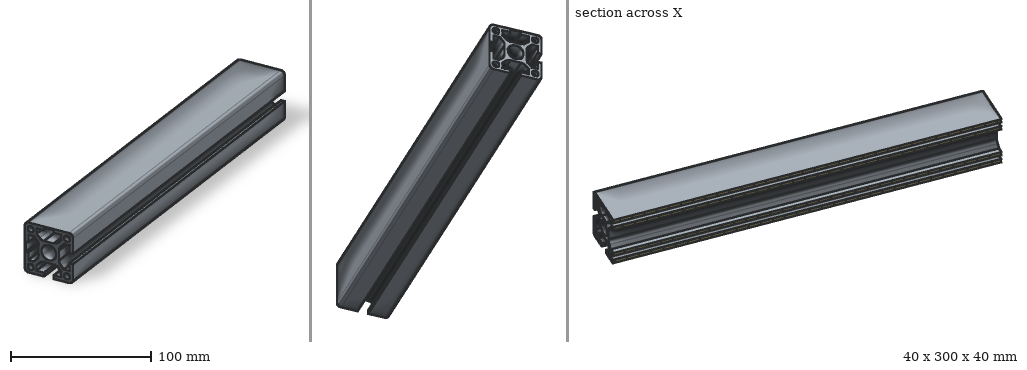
import cadquery as cq

LENGTH = 300.0
SIDE = 40.0
HALF = SIDE / 2
CORNER_RADIUS = 3.3

CENTER_BORE_RADIUS = 6.0
CORNER_HOLE_RADIUS = 2.5
CORNER_HOLE_OFFSET = 15.0

LIP_THICKNESS = 3.0
CHAMBER_HALF_WIDTH = 10.2
CHAMBER_FLOOR = 8.5
WEB_THICKNESS = 3.3
FLOOR_FILLET = 5.5
CHAMBER_TOP = HALF - LIP_THICKNESS

MOUTH_WIDTH = 8.0
SKIN_THICKNESS = 1.0
OPEN_ANGLES = (90, 180)
COVERED_ANGLES = (0, 270)


def extrude_along_length(sketch):
    return sketch.extrude(LENGTH / 2, both=True)


def make_body():
    body = extrude_along_length(cq.Workplane("XZ").rect(SIDE, SIDE))
    return body.edges("|Y").fillet(CORNER_RADIUS)


def make_chamber():
    """Chamber on the +Z side, with 45-degree flanks beside the webs."""
    flank_offset = WEB_THICKNESS / 2 * 2**0.5
    floor_half_width = CHAMBER_FLOOR - flank_offset
    flank_top = CHAMBER_HALF_WIDTH + flank_offset
    outline = [
        (-CHAMBER_HALF_WIDTH, CHAMBER_TOP),
        (CHAMBER_HALF_WIDTH, CHAMBER_TOP),
        (CHAMBER_HALF_WIDTH, flank_top),
        (floor_half_width, CHAMBER_FLOOR),
        (-floor_half_width, CHAMBER_FLOOR),
        (-CHAMBER_HALF_WIDTH, flank_top),
    ]
    chamber = extrude_along_length(cq.Workplane("XZ").polyline(outline).close())
    return chamber.faces("<Z").edges("|Y").fillet(FLOOR_FILLET)


def make_mouth(outer_height):
    """Slot mouth on the +Z side, from the chamber up to outer_height."""
    depth = outer_height - CHAMBER_FLOOR
    middle = (outer_height + CHAMBER_FLOOR) / 2
    return extrude_along_length(cq.Workplane("XZ").center(0, middle).rect(MOUTH_WIDTH, depth))


def turned(shape, angle):
    """Rotate a +Z side feature about the length: 90 is +X, 180 is -Z, 270 is -X."""
    return shape.rotate((0, 0, 0), (0, 1, 0), angle)


def make_bores():
    center_bore = extrude_along_length(cq.Workplane("XZ").circle(CENTER_BORE_RADIUS))
    spacing = 2 * CORNER_HOLE_OFFSET
    corner_holes = cq.Workplane("XZ").rect(spacing, spacing, forConstruction=True).vertices()
    return center_bore, extrude_along_length(corner_holes.circle(CORNER_HOLE_RADIUS))


result = make_body()
for bore in make_bores():
    result = result.cut(bore)

open_slot = make_chamber().union(make_mouth(HALF))
covered_slot = make_chamber().union(make_mouth(HALF - SKIN_THICKNESS))
for side_angle in OPEN_ANGLES:
    result = result.cut(turned(open_slot, side_angle))
for side_angle in COVERED_ANGLES:
    result = result.cut(turned(covered_slot, side_angle))